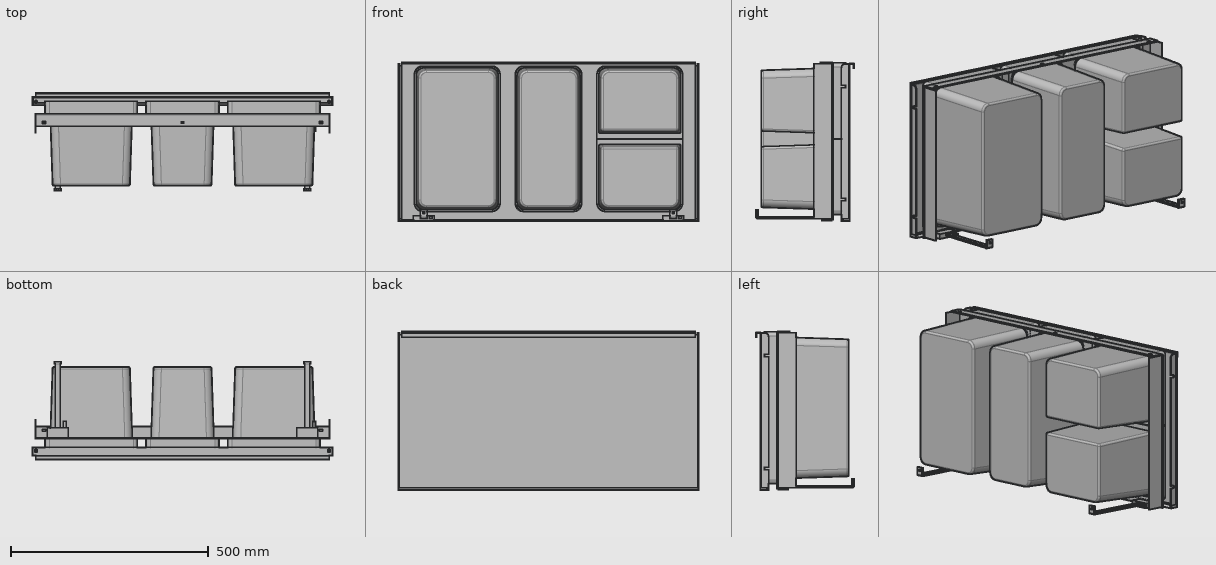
import cadquery as cq

PANEL_LENGTH = 760.0
SHEET_TOP = 394.0
PANEL_Y = -11.0
PANEL_THICKNESS = 2.0
FLANGE_TIP_Y = -32.0
SIDE_FLANGE_TOP = 398.0
SIDE_FLANGE_CORNER = 9.0
BOTTOM_FLANGE_HEIGHT = 7.0
BOTTOM_FLANGE_CHAMFER = 6.0
HOOK_LENGTH = 743.0
HOOK_TOP = 400.0
HOOK_DROP = 13.0
HOOK_THICKNESS = 2.0
HOOK_BEND_RADIUS = 2.0
SHEET_BEND_RADIUS = 4.0
NOTCH_HEIGHT = 7.0
NOTCH_DEPTH = 11.0
NOTCH_END_RADIUS = 3.0
NOTCH_LEVELS = (55.0, 341.0)
RELIEF_DIAMETER = 6.0
RELIEF_X = 371.0
RELIEF_Y = -23.0

FRAME_BOTTOM = 4.0
FRAME_TOP = 402.0
FRAME_Y = -53.0
FRAME_THICKNESS = 3.0
FRAME_LENGTH = 743.0
FRAME_BEND_RADIUS = 2.65
TOP_FLANGE_TIP_Y = -85.0
FRAME_SIDE_SPAN = 746.0
FRAME_SIDE_THICKNESS = 2.0
FRAME_SIDE_TIP_Y = -102.0
FRAME_SIDE_BOTTOM = 6.0
FRAME_SIDE_TOP = 399.0
SLOT_LENGTH = 7.0
SLOT_WIDTH = 4.5
SLOT_Y = -75.0
SLOT_PITCH = 350.0

OPENING_BOTTOM = 24.0
OPENING_TOP = 393.0
OPENING_CORNER = 23.0
OUTER_OPENING_WIDTH = 217.0
OUTER_OPENING_X = 231.0
MIDDLE_OPENING_WIDTH = 169.0
COLLAR_OVERHANG = 8.0
COLLAR_Y = -21.0
COLLAR_CORNER = 11.0
WALL_CLEARANCE = 4.5
BODY_END_Y = -235.5
BODY_TAPER = 1.9
BODY_CORNER = 20.0
SEAM_CORNER = 6.0
SEAM_GAP = 1.5
FLOOR_FILLET = 5.0

ARM_SPACING = 631.5
ARM_WIDTH = 14.0
ARM_THICKNESS = 4.5
ARM_BOTTOM = 7.0
ARM_END_Y = -248.5
TAB_WIDTH = 17.5
TAB_TOP = 29.0
TAB_THICKNESS = 5.0
TAB_BEND_RADIUS = 4.5
TAB_HOLE_DIAMETER = 4.5
TAB_HOLE_Z = 21.0
BRACKET_WIDTH = 52.5
BRACKET_BOTTOM = 1.5
BRACKET_TOP = 14.5
BRACKET_FRONT_Y = -81.0
PRONG_OFFSET = 17.5
PRONG_WIDTH = 7.0
PRONG_TIP_Y = -97.0

FRAME_FRONT_Y = FRAME_Y - FRAME_THICKNESS
OPENING_HEIGHT = OPENING_TOP - OPENING_BOTTOM
OPENING_Z = (OPENING_TOP + OPENING_BOTTOM) / 2
OPENINGS = (
    (-OUTER_OPENING_X, OUTER_OPENING_WIDTH),
    (0, MIDDLE_OPENING_WIDTH),
    (OUTER_OPENING_X, OUTER_OPENING_WIDTH),
)


def block(x_range, y_range, z_range):
    """Box between two limits on each axis, given in either order."""
    ranges = (x_range, y_range, z_range)
    sizes = [abs(second - first) for first, second in ranges]
    corner = tuple(min(limits) for limits in ranges)
    return cq.Workplane("XY").box(*sizes, centered=False).translate(corner)


def facing_front(y):
    """Sketch plane at the given Y whose outlines extrude toward -Y."""
    return cq.Workplane("XZ", origin=(0, y, 0))


def make_panel():
    half = PANEL_LENGTH / 2
    inner_half = half - PANEL_THICKNESS
    back_y = PANEL_Y - PANEL_THICKNESS

    panel = block((-inner_half, inner_half), (PANEL_Y, back_y), (0, SHEET_TOP))

    for inner, outer in ((-inner_half, -half), (inner_half, half)):
        side = block((inner, outer), (PANEL_Y, FLANGE_TIP_Y), (0, SIDE_FLANGE_TOP))
        side = side.edges("|X and >Z and <Y").fillet(SIDE_FLANGE_CORNER)
        panel = panel.union(side)

    bottom = block((-inner_half, inner_half), (PANEL_Y, FLANGE_TIP_Y), (0, BOTTOM_FLANGE_HEIGHT))
    bottom = bottom.edges("|X and >Z and <Y").chamfer(BOTTOM_FLANGE_CHAMFER)
    panel = panel.union(bottom)

    hook_half = HOOK_LENGTH / 2
    hook_x = (-hook_half, hook_half)
    web = block(hook_x, (0, back_y), (HOOK_TOP - HOOK_THICKNESS, HOOK_TOP))
    lip = block(hook_x, (0, -HOOK_THICKNESS), (HOOK_TOP - HOOK_DROP, HOOK_TOP))
    stem = block(hook_x, (PANEL_Y, back_y), (SHEET_TOP, HOOK_TOP))
    hook = web.union(lip).union(stem)
    hook = hook.edges("|X and >Z and >Y").fillet(HOOK_BEND_RADIUS)
    hook = hook.edges("|X and >Z and <Y").fillet(SHEET_BEND_RADIUS)
    panel = panel.union(hook)

    for level in NOTCH_LEVELS:
        notch_z = (level - NOTCH_HEIGHT / 2, level + NOTCH_HEIGHT / 2)
        notch = block((-half, half), (FLANGE_TIP_Y, FLANGE_TIP_Y + NOTCH_DEPTH), notch_z)
        notch = notch.edges("|X and >Y").fillet(NOTCH_END_RADIUS)
        panel = panel.cut(notch)

    reliefs = (
        cq.Workplane("XY")
        .pushPoints([(-RELIEF_X, RELIEF_Y), (RELIEF_X, RELIEF_Y)])
        .circle(RELIEF_DIAMETER / 2)
        .extrude(BOTTOM_FLANGE_HEIGHT)
    )
    return panel.cut(reliefs)


def make_frame():
    half = FRAME_LENGTH / 2
    side_half = FRAME_SIDE_SPAN / 2
    sheet = block((-side_half, side_half), (FRAME_Y, FRAME_FRONT_Y), (FRAME_BOTTOM, FRAME_SIDE_TOP))
    flange_z = (FRAME_TOP - FRAME_THICKNESS, FRAME_TOP)
    top_flange = block((-half, half), (FRAME_Y, TOP_FLANGE_TIP_Y), flange_z)
    top_flange = top_flange.edges("|X and >Z and >Y").fillet(FRAME_BEND_RADIUS)
    frame = sheet.union(top_flange)

    for direction in (-1, 1):
        side = block(
            (direction * (side_half - FRAME_SIDE_THICKNESS), direction * side_half),
            (FRAME_Y, FRAME_SIDE_TIP_Y),
            (FRAME_SIDE_BOTTOM, FRAME_SIDE_TOP),
        )
        frame = frame.union(side)

    for x, width in OPENINGS:
        opening = facing_front(FRAME_Y).center(x, OPENING_Z).rect(width, OPENING_HEIGHT)
        opening = opening.extrude(FRAME_THICKNESS).edges("|Y").fillet(OPENING_CORNER)
        frame = frame.cut(opening)

    slots = (
        cq.Workplane("XY", origin=(0, SLOT_Y, FRAME_TOP))
        .rarray(SLOT_PITCH, 7.5, 3, 1)
        .rect(SLOT_LENGTH, SLOT_WIDTH)
        .extrude(-FRAME_THICKNESS)
    )
    return frame.cut(slots)


def make_bin(x, opening_width, bottom, top, top_at_seam=False, bottom_at_seam=False):
    """Bin whose collar spans Z from bottom to top; edges at a seam have sharper corners."""
    inset = COLLAR_OVERHANG + WALL_CLEARANCE
    middle_z = (bottom + top) / 2
    collar_height = top - bottom
    collar_width = opening_width + 2 * COLLAR_OVERHANG

    collar = facing_front(COLLAR_Y).center(x, middle_z).rect(collar_width, collar_height)
    collar = collar.extrude(COLLAR_Y - FRAME_Y)
    body = facing_front(FRAME_Y).center(x, middle_z)
    body = body.rect(collar_width - 2 * inset, collar_height - 2 * inset)
    body = body.extrude(FRAME_Y - BODY_END_Y, taper=BODY_TAPER)

    for end, at_seam in ((">Z", top_at_seam), ("<Z", bottom_at_seam)):
        corners = body.faces(end).edges("not |X")
        body = corners.fillet(SEAM_CORNER if at_seam else BODY_CORNER)
        if not at_seam:
            collar = collar.faces(end).edges("|Y").fillet(COLLAR_CORNER)

    body = body.faces("<Y").edges().fillet(FLOOR_FILLET)
    return collar.union(body)


def make_bins():
    bottom = OPENING_BOTTOM - COLLAR_OVERHANG
    top = OPENING_TOP + COLLAR_OVERHANG
    seam_bottom = OPENING_Z - SEAM_GAP / 2
    seam_top = OPENING_Z + SEAM_GAP / 2
    return [
        make_bin(-OUTER_OPENING_X, OUTER_OPENING_WIDTH, bottom, top),
        make_bin(0, MIDDLE_OPENING_WIDTH, bottom, top),
        make_bin(OUTER_OPENING_X, OUTER_OPENING_WIDTH, bottom, seam_bottom, top_at_seam=True),
        make_bin(OUTER_OPENING_X, OUTER_OPENING_WIDTH, seam_top, top, bottom_at_seam=True),
    ]


def make_bracket(x):
    """Block on the front of the frame with a short prong beside the arm."""
    half = BRACKET_WIDTH / 2
    base = block((-half, half), (FRAME_FRONT_Y, BRACKET_FRONT_Y), (BRACKET_BOTTOM, BRACKET_TOP))
    prong = block(
        (PRONG_OFFSET - PRONG_WIDTH / 2, PRONG_OFFSET + PRONG_WIDTH / 2),
        (BRACKET_FRONT_Y, PRONG_TIP_Y),
        (ARM_BOTTOM, ARM_BOTTOM + ARM_THICKNESS),
    )
    return base.union(prong).translate((x, 0, 0))


def make_arm(x):
    """Flat strip that starts at the bracket, with an upturned tab at its free end."""
    strip = block(
        (-ARM_WIDTH / 2, ARM_WIDTH / 2),
        (BRACKET_FRONT_Y, ARM_END_Y + TAB_THICKNESS),
        (ARM_BOTTOM, ARM_BOTTOM + ARM_THICKNESS),
    )
    tab = block(
        (-TAB_WIDTH / 2, TAB_WIDTH / 2),
        (ARM_END_Y, ARM_END_Y + TAB_THICKNESS),
        (ARM_BOTTOM, TAB_TOP),
    )
    tab = tab.edges("|X and <Z and <Y").fillet(TAB_BEND_RADIUS)
    hole = facing_front(ARM_END_Y + TAB_THICKNESS).center(0, TAB_HOLE_Z)
    hole = hole.circle(TAB_HOLE_DIAMETER / 2).extrude(TAB_THICKNESS)
    return strip.union(tab.cut(hole)).translate((x, 0, 0))


panel = make_panel()
frame = make_frame()
bins = make_bins()
arm_places = (-ARM_SPACING / 2, ARM_SPACING / 2)
brackets = [make_bracket(x) for x in arm_places]
arms = [make_arm(x) for x in arm_places]

result = cq.Compound.makeCompound(
    [body.val() for body in (panel, frame, *bins, *brackets, *arms)]
)